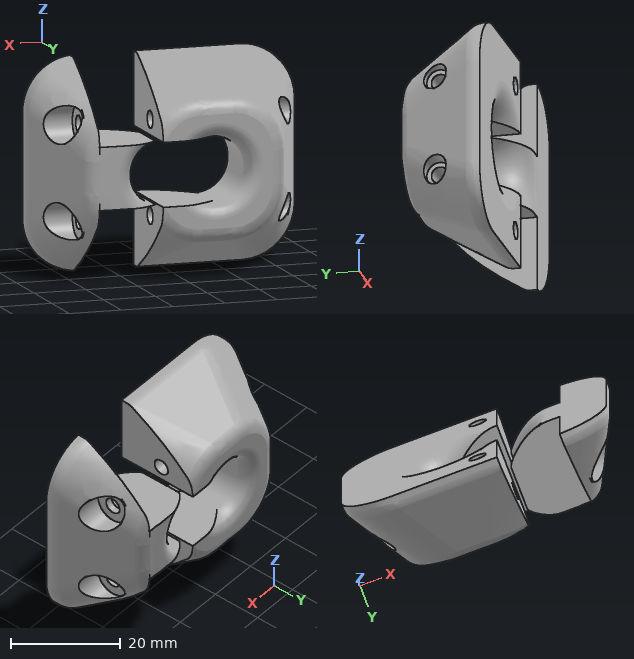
import cadquery as cq


width = 40.0
half_width = width / 2
depth = 17.0
corner_radius = 10.0
plate_thickness = 2.0
wall_inset = 7.5
edge_round = 3.0
ridge_tolerance = 0.05

throat_radius = 6.0
front_flare = 5.95
back_flare = 3.0

housing_end = 10.5
cap_start = 10.85
tongue_start = 1.0
tongue_half_width = 5.9
tongue_extension = 1.9
pull_apart = 9.95

screw_diameter = 3.2
screw_offset = 9.0
screw_depth = 9.5
housing_bore_diameter = 5.0
housing_bore_floor = 12.0
cap_bore_diameter = 7.0
cap_bore_floor = 12.4

mount_diameter = 3.2
mount_x = 6.7
mount_z = 14.0
mount_depth = 6.0


def block(x_min, x_max, half_height):
    """Block spanning the full depth, centred on Z = 0."""
    return (
        cq.Workplane("XY")
        .box(x_max - x_min, depth, 2 * half_height, centered=(False, False, True))
        .translate((x_min, 0, 0))
    )


def rounded_square(side):
    """Sketch of a square with rounded corners."""
    return cq.Sketch().rect(side, side).vertices().fillet(corner_radius)


def outer_shell():
    """Straight plate, then walls leaning in to a smaller back face, with rounded ridges."""
    front_outline = rounded_square(width)
    back_outline = rounded_square(width - 2 * wall_inset)
    plate_top = cq.Plane((0, plate_thickness, 0), (1, 0, 0), (0, 1, 0))
    wall_depth = depth - plate_thickness
    raised_outline = back_outline.moved(cq.Location(cq.Vector(0, 0, wall_depth)))
    plate = cq.Workplane("XZ").placeSketch(front_outline).extrude(-plate_thickness)
    walls = cq.Workplane(plate_top).placeSketch(front_outline, raised_outline).loft()
    shell = plate.union(walls)
    shell = shell.faces(">Y").edges().fillet(edge_round)
    ridge = cq.selectors.BoxSelector(
        (-width, plate_thickness - ridge_tolerance, -width),
        (width, plate_thickness + ridge_tolerance, width),
    )
    return shell.edges(ridge).fillet(edge_round)


def cable_passage():
    """Throat with quarter-round flares, revolved about the Y axis."""
    return (
        cq.Workplane("XY")
        .lineTo(throat_radius + front_flare, 0)
        .radiusArc((throat_radius, front_flare), front_flare)
        .lineTo(throat_radius, depth - back_flare)
        .radiusArc((throat_radius + back_flare, depth), back_flare)
        .lineTo(0, depth)
        .close()
        .revolve(360, (0, 0, 0), (0, 1, 0))
    )


def x_cylinders(diameter, x_min, x_max):
    """Pair of cylinders along X, one at each screw position."""
    return (
        cq.Workplane("YZ", origin=(x_min, 0, 0))
        .pushPoints([(screw_depth, -screw_offset), (screw_depth, screw_offset)])
        .circle(diameter / 2)
        .extrude(x_max - x_min)
    )


def mounting_holes():
    """Pair of blind holes drilled from the front face."""
    return (
        cq.Workplane("XZ")
        .pushPoints([(mount_x, -mount_z), (mount_x, mount_z)])
        .circle(mount_diameter / 2)
        .extrude(-mount_depth)
    )


def make_housing(fairlead):
    """Slotted part that carries the mounting holes."""
    body = fairlead.intersect(block(-half_width, housing_end, half_width))
    body = body.cut(block(0, housing_end, throat_radius))
    body = body.cut(x_cylinders(screw_diameter, -half_width, housing_end))
    body = body.cut(x_cylinders(housing_bore_diameter, -half_width, -housing_bore_floor))
    return body.cut(mounting_holes())


def make_cap(fairlead):
    """End cap with a tongue, lengthened by a strip of constant section."""
    end = fairlead.intersect(block(cap_start, half_width, half_width))
    end = end.cut(x_cylinders(screw_diameter, cap_start, half_width))
    end = end.cut(x_cylinders(cap_bore_diameter, cap_bore_floor, half_width))
    tongue = fairlead.intersect(block(tongue_start, cap_start, tongue_half_width))
    strip = tongue.faces(">X").wires().toPending().workplane().extrude(tongue_extension, combine=False)
    end = end.translate((tongue_extension, 0, 0))
    return tongue.union(strip).union(end).translate((pull_apart, 0, 0))


fairlead = outer_shell().cut(cable_passage())
housing = make_housing(fairlead)
cap = make_cap(fairlead)

result = cq.Compound.makeCompound([housing.val(), cap.val()])